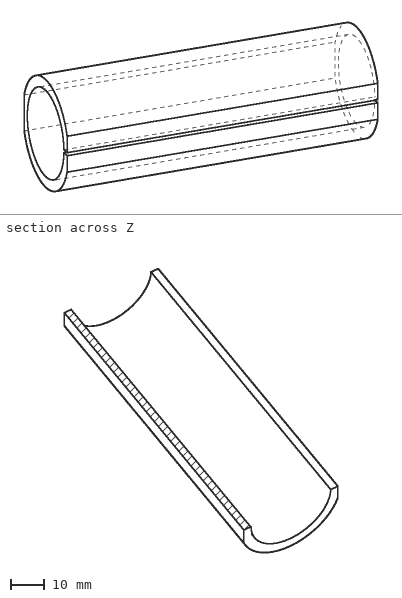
import cadquery as cq

length = 100.0
outer_diameter = 35.0
bore_diameter = 28.0
width_across_flats = 33.0
slit_width = 1.0

tube = (
    cq.Workplane("XZ")
    .circle(outer_diameter / 2)
    .circle(bore_diameter / 2)
    .extrude(length / 2, both=True)
)

flats_envelope = cq.Workplane("XY").box(width_across_flats, length, outer_diameter)
sleeve = tube.intersect(flats_envelope)

slit = cq.Workplane("XY").box(
    outer_diameter, length, slit_width, centered=(False, True, True)
)

result = sleeve.cut(slit)